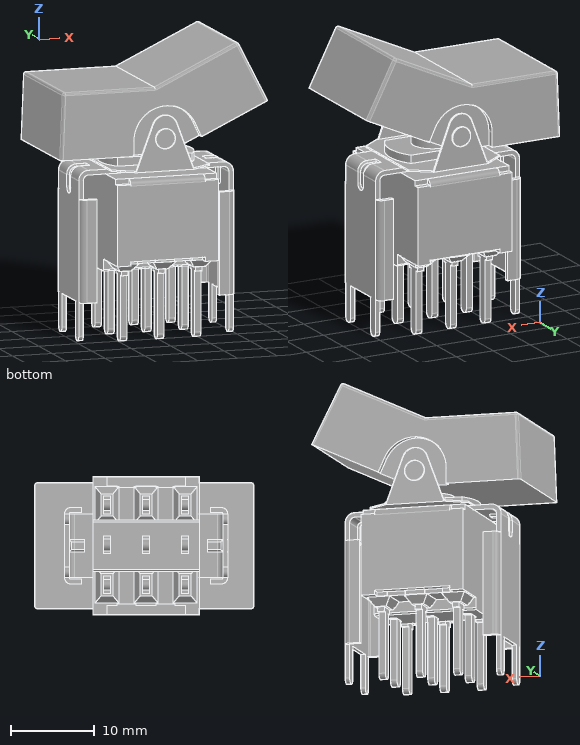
import cadquery as cq
import math

KINK_X, KINK_Z = -1.4, 31.07
LEAF_LENGTH = 11.6
LEAF_DEPTH = 8.2
LEAF_FLARE = 0.32
ROCKER_ANGLE = 25.0
ROCKER_HALF_WIDTH = 7.55
ROCKER_ROUND = 0.32

PIVOT_Z = 24.72
RECESS_RADIUS = 4.05
RECESS_SKIRT = 5.38
RECESS_FLOOR_Y = 6.67
PIN_DIAMETER = 2.45
PIN_HALF_LENGTH = 7.4
EAR_INNER_Y = 6.95
EAR_THICKNESS = 0.2
EAR_TIP_DIAMETER = 3.2
EAR_TIP_Z = 27.55
EAR_BASE_HALF_WIDTH = 3.65

BRACKET_TOP_Z = 20.77
SUPPORT_THICKNESS = 0.18
SUPPORT_HALF_LENGTH = 6.17
SUPPORT_SHOULDER_Y = 5.38
BUSHING_DIAMETER = 11.5
BUSHING_WIDTH = 6.65
BUSHING_TOP_Z = 22.0
STEM_DIAMETER = 5.2

BRACKET_LENGTH = 19.52
BRACKET_WIDTH = 7.6
SHEET = 0.57
BRACKET_BEND = 1.22
NECK_LENGTH = 8.97
NECK_WIDTH = 7.05
FLANGE_BOTTOM_Z, FLANGE_TOP_Z = 4.75, 17.3
FLANGE_WIDTH = 9.15
FLANGE_DEPTH = 2.05
FLANGE_BEND = 0.8
LEG_PIN_WIDTH = 1.3

BEAD_WIDTH = 1.45
BEAD_DEPTH = 0.25
BEAD_END_X = 7.35
BEAD_END_Z = 18.15

BODY_LENGTH, BODY_WIDTH = 12.75, 16.5
BODY_BOTTOM_Z = 9.7
BODY_TOP_Z = BRACKET_TOP_Z - SHEET
COVER_LENGTH = 9.4
COVER_ROUND = 0.8
REBATE_WIDTH, REBATE_HEIGHT = 0.75, 0.65
COVER_CUT_DEPTH = 1.3
COVER_CUT_HEIGHT = 0.5
PAD_LENGTH = 2.4
PAD_PROUD = 0.18
BASE_WIDTH = 6.1
BASE_BOTTOM_Z = 8.2
BASE_CHAMFER = 0.2

TERMINAL_PITCH_X = 4.65
TERMINAL_PITCH_Y = 4.77
TERMINAL_SHIFT_Y = -0.1
TERMINAL_THICKNESS = 0.83
OUTER_TERMINAL_WIDTH = 1.3
MIDDLE_TERMINAL_WIDTH = 1.45
SHOULDER_WIDTH = 2.1
SHOULDER_BOTTOM_Z = 8.1
FUNNEL_BOTTOM_Z = 8.7
FUNNEL_TOP_SIZE = (2.87, 4.38)
FUNNEL_BOTTOM_SIZE = (1.45, 2.65)


def box(length, width, bottom, top, x=0, y=0):
    """Upright block centred at (x, y) between two heights."""
    plan = cq.Workplane("XY", origin=(x, y, bottom)).rect(length, width)
    return plan.extrude(top - bottom)


def across(half_width):
    """XZ plane from which a positive extrusion runs from +half_width towards -Y."""
    return cq.Workplane("XZ", origin=(0, half_width, 0))


def both_sides(part, plane):
    """A part together with its mirror image."""
    return part.union(part.mirror(plane))


def rocker():
    angle = math.radians(ROCKER_ANGLE)
    cos_a, sin_a = math.cos(angle), math.sin(angle)

    def on_raised_leaf(along, down):
        return (
            KINK_X + along * cos_a + down * sin_a,
            KINK_Z + along * sin_a - down * cos_a,
        )

    outline = [
        (KINK_X, KINK_Z),
        on_raised_leaf(LEAF_LENGTH, 0),
        on_raised_leaf(LEAF_LENGTH + LEAF_FLARE, LEAF_DEPTH),
        on_raised_leaf(-LEAF_DEPTH * math.tan(angle / 2), LEAF_DEPTH),
        (KINK_X - LEAF_LENGTH - LEAF_FLARE, KINK_Z - LEAF_DEPTH),
        (KINK_X - LEAF_LENGTH, KINK_Z),
    ]
    cap = across(ROCKER_HALF_WIDTH).polyline(outline).close().extrude(2 * ROCKER_HALF_WIDTH)

    kink, raised_tip, raised_heel, _, lowered_heel, lowered_tip = outline
    rim_runs = [
        (lowered_heel, lowered_tip),
        (lowered_tip, kink),
        (kink, raised_tip),
        (raised_tip, raised_heel),
    ]
    rounded = cq.Workplane()
    for (x0, z0), (x1, z1) in rim_runs:
        for y in (-ROCKER_HALF_WIDTH, ROCKER_HALF_WIDTH):
            middle = ((x0 + x1) / 2, y, (z0 + z1) / 2)
            rounded = rounded.add(cap.edges(cq.selectors.NearestToPointSelector(middle)))
    for x, z in (lowered_tip, raised_tip):
        rounded = rounded.add(cap.edges(cq.selectors.NearestToPointSelector((x, 0, z))))
    cap = cq.Workplane(cap.val().fillet(ROCKER_ROUND, rounded.vals()))

    arch_end = (RECESS_RADIUS * cos_a, PIVOT_Z + RECESS_RADIUS * sin_a)
    recess = (
        across(-RECESS_FLOOR_Y)
        .moveTo(-RECESS_RADIUS, PIVOT_Z)
        .threePointArc((0, PIVOT_Z + RECESS_RADIUS), arch_end)
        .line(RECESS_SKIRT * sin_a, -RECESS_SKIRT * cos_a)
        .lineTo(-RECESS_RADIUS, PIVOT_Z - RECESS_SKIRT)
        .close()
        .extrude(ROCKER_HALF_WIDTH)
    )
    return cap.cut(both_sides(recess, "XZ"))


def support_plate():
    top = BRACKET_TOP_Z + SUPPORT_THICKNESS
    ear_y = EAR_INNER_Y + EAR_THICKNESS
    outline = [
        (SUPPORT_HALF_LENGTH, SUPPORT_SHOULDER_Y),
        (EAR_BASE_HALF_WIDTH, ear_y),
        (-EAR_BASE_HALF_WIDTH, ear_y),
        (-SUPPORT_HALF_LENGTH, SUPPORT_SHOULDER_Y),
        (-SUPPORT_HALF_LENGTH, -SUPPORT_SHOULDER_Y),
        (-EAR_BASE_HALF_WIDTH, -ear_y),
        (EAR_BASE_HALF_WIDTH, -ear_y),
        (SUPPORT_HALF_LENGTH, -SUPPORT_SHOULDER_Y),
    ]
    plate = (
        cq.Workplane("XY", origin=(0, 0, BRACKET_TOP_Z))
        .polyline(outline).close().extrude(SUPPORT_THICKNESS)
    )

    tip_radius = EAR_TIP_DIAMETER / 2
    tip_centre_z = EAR_TIP_Z - tip_radius
    rise = tip_centre_z - BRACKET_TOP_Z
    reach = math.hypot(EAR_BASE_HALF_WIDTH, rise)
    tangent = math.atan2(-rise, EAR_BASE_HALF_WIDTH) + math.acos(tip_radius / reach)
    tangent_x = tip_radius * math.cos(tangent)
    tangent_z = tip_centre_z + tip_radius * math.sin(tangent)
    ear = (
        across(-EAR_INNER_Y)
        .moveTo(-EAR_BASE_HALF_WIDTH, BRACKET_TOP_Z)
        .lineTo(-tangent_x, tangent_z)
        .threePointArc((0, EAR_TIP_Z), (tangent_x, tangent_z))
        .lineTo(EAR_BASE_HALF_WIDTH, BRACKET_TOP_Z)
        .close()
        .extrude(EAR_THICKNESS)
    )
    pin = (
        across(PIN_HALF_LENGTH)
        .center(0, PIVOT_Z).circle(PIN_DIAMETER / 2).extrude(2 * PIN_HALF_LENGTH)
    )
    bushing = (
        cq.Workplane("XY", origin=(0, 0, BRACKET_TOP_Z))
        .circle(BUSHING_DIAMETER / 2).extrude(BUSHING_TOP_Z - BRACKET_TOP_Z)
        .intersect(box(BUSHING_DIAMETER, BUSHING_WIDTH, BRACKET_TOP_Z, BUSHING_TOP_Z))
    )
    stem = (
        cq.Workplane("XY", origin=(0, 0, top))
        .circle(STEM_DIAMETER / 2).extrude(PIVOT_Z - top)
    )
    return plate.union(both_sides(ear, "XZ")).union(pin).union(bushing).union(stem)


def blade(thickness, width, top, x, y):
    """Flat pin standing on Z = 0 with a full round lower end."""
    radius = width / 2
    return (
        cq.Workplane("YZ", origin=(x - thickness / 2, y, 0))
        .moveTo(-radius, top)
        .lineTo(-radius, radius)
        .threePointArc((0, 0), (radius, radius))
        .lineTo(radius, top)
        .close()
        .extrude(thickness)
    )


def bead(inset):
    """Tapered bead that sinks inwards from the bracket's outer skin, moved in by inset."""
    skin_x = -BRACKET_LENGTH / 2 + inset
    skin_z = BRACKET_TOP_Z - inset
    bend = BRACKET_BEND - inset
    diagonal = bend * (1 - math.sqrt(0.5))
    path = (
        cq.Workplane("XZ")
        .moveTo(skin_x, BEAD_END_Z)
        .lineTo(skin_x, skin_z - bend)
        .threePointArc((skin_x + diagonal, skin_z - diagonal), (skin_x + bend, skin_z))
        .lineTo(-BEAD_END_X, skin_z)
    )
    outer, inner = BEAD_WIDTH / 2, BEAD_WIDTH / 2 - BEAD_DEPTH
    run = (
        cq.Workplane("XY", origin=(skin_x, 0, BEAD_END_Z))
        .polyline([(0, -outer), (BEAD_DEPTH, -inner), (BEAD_DEPTH, inner), (0, outer)])
        .close()
        .sweep(path)
    )
    end = cq.Solid.makeCone(
        outer, inner, BEAD_DEPTH, cq.Vector(skin_x, 0, BEAD_END_Z), cq.Vector(1, 0, 0)
    )
    return run.union(cq.Workplane(end))


def bracket():
    half = BRACKET_LENGTH / 2
    strap = (
        box(BRACKET_LENGTH, BRACKET_WIDTH, FLANGE_BOTTOM_Z, BRACKET_TOP_Z)
        .edges("|Y and >Z").fillet(BRACKET_BEND)
    )
    opening = (
        box(BRACKET_LENGTH - 2 * SHEET, BRACKET_WIDTH, FLANGE_BOTTOM_Z, BODY_TOP_Z)
        .edges("|Y and >Z").fillet(BRACKET_BEND - SHEET)
    )
    neck = box(NECK_LENGTH, BRACKET_WIDTH, BODY_TOP_Z, BRACKET_TOP_Z).cut(
        box(NECK_LENGTH, NECK_WIDTH, BODY_TOP_Z, BRACKET_TOP_Z)
    )
    strap = strap.cut(opening).cut(neck)

    leg = (
        box(FLANGE_DEPTH, FLANGE_WIDTH, FLANGE_BOTTOM_Z, FLANGE_TOP_Z, FLANGE_DEPTH / 2 - half)
        .edges("|Z and <X").fillet(FLANGE_BEND)
    )
    channel = (
        box(FLANGE_DEPTH, FLANGE_WIDTH - 2 * SHEET, FLANGE_BOTTOM_Z, FLANGE_TOP_Z,
            FLANGE_DEPTH / 2 - half + SHEET)
        .edges("|Z and <X").fillet(FLANGE_BEND - SHEET)
    )
    leg = leg.cut(channel)
    for side in (-1, 1):
        pin_y = side * (BRACKET_WIDTH - LEG_PIN_WIDTH) / 2
        leg = leg.union(blade(SHEET, LEG_PIN_WIDTH, FLANGE_BOTTOM_Z, SHEET / 2 - half, pin_y))

    frame = strap.union(both_sides(leg, "YZ"))
    return frame.cut(both_sides(bead(0), "YZ")).union(both_sides(bead(SHEET), "YZ"))


def body():
    side_length = (BODY_LENGTH - COVER_LENGTH) / 2
    side_x = (BODY_LENGTH - side_length) / 2
    core = box(BODY_LENGTH, BODY_WIDTH - 2 * REBATE_WIDTH, BODY_BOTTOM_Z, BODY_TOP_Z)
    cover = (
        box(COVER_LENGTH, BODY_WIDTH, BODY_BOTTOM_Z, BODY_TOP_Z)
        .edges("|X and >Z").fillet(COVER_ROUND)
    )
    case = core.union(cover)
    for x in (-side_x, side_x):
        case = case.union(
            box(side_length, BODY_WIDTH, BODY_BOTTOM_Z, BODY_TOP_Z - REBATE_HEIGHT, x)
        )

    cut_y = (BODY_WIDTH - COVER_CUT_DEPTH) / 2
    cut_top = BODY_BOTTOM_Z + COVER_CUT_HEIGHT
    pad_y = (BODY_WIDTH - 2 * COVER_CUT_DEPTH + PAD_PROUD) / 2
    cut = box(COVER_LENGTH, COVER_CUT_DEPTH, BODY_BOTTOM_Z, cut_top, y=cut_y)
    case = case.cut(both_sides(cut, "XZ"))
    for column in (-1, 0, 1):
        pad = box(PAD_LENGTH, PAD_PROUD, BODY_BOTTOM_Z, cut_top, column * TERMINAL_PITCH_X, pad_y)
        case = case.union(both_sides(pad, "XZ"))

    base = (
        box(BODY_LENGTH, BASE_WIDTH, BASE_BOTTOM_Z, BODY_BOTTOM_Z)
        .edges("|X and <Z").chamfer(BASE_CHAMFER)
    )
    return case.union(base)


def terminal(x, y, width):
    funnel = (
        cq.Workplane("XY", origin=(x, y, FUNNEL_BOTTOM_Z))
        .rect(*FUNNEL_BOTTOM_SIZE)
        .workplane(offset=BODY_BOTTOM_Z - FUNNEL_BOTTOM_Z)
        .rect(*FUNNEL_TOP_SIZE)
        .loft(ruled=True)
    )
    shoulder = box(TERMINAL_THICKNESS, SHOULDER_WIDTH, SHOULDER_BOTTOM_Z, FUNNEL_BOTTOM_Z, x, y)
    pin = blade(TERMINAL_THICKNESS, width, SHOULDER_BOTTOM_Z, x, y)
    return funnel.union(shoulder).union(pin)


result = body().union(bracket()).union(support_plate()).union(rocker())
for column in (-1, 0, 1):
    for row in (-1, 0, 1):
        terminal_width = OUTER_TERMINAL_WIDTH if row else MIDDLE_TERMINAL_WIDTH
        terminal_x = column * TERMINAL_PITCH_X
        terminal_y = row * TERMINAL_PITCH_Y + TERMINAL_SHIFT_Y
        result = result.union(terminal(terminal_x, terminal_y, terminal_width))